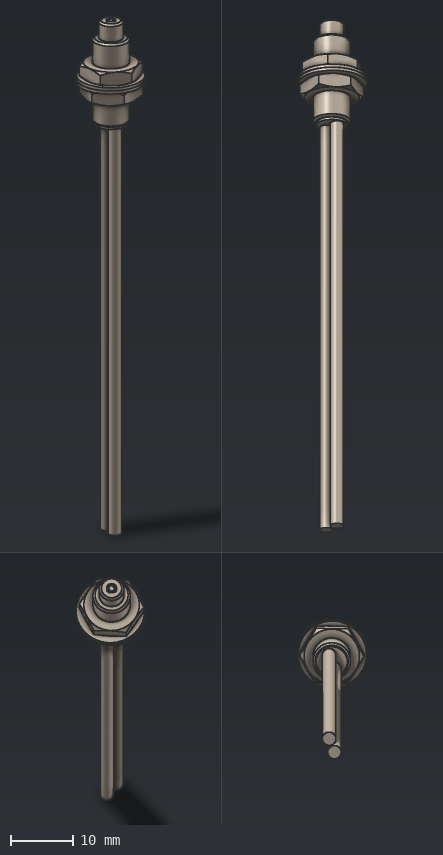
import cadquery as cq
import math

TOTAL_HEIGHT = 88.0

TIP_DIAMETER = 4.0
TIP_LENGTH = 3.0
TIP_CHAMFER = 0.35
BARREL_DIAMETER = 6.0
BARREL_END_DEPTH = 17.4
BARREL_CHAMFER = 0.35
COLLAR_DIAMETER = 5.0
COLLAR_LENGTH = 0.4
GROOVE_DIAMETER = 1.6
CORE_DIAMETER = 1.0
GROOVE_DEPTH = 0.4
LEAD_DIAMETER = 2.2
LEAD_SPACING = 2.4

NUT_ACROSS_FLATS = 9.0
NUT_RIM_DIAMETER = 8.9
NUT_THICKNESS = 2.4
NUT_CHAMFER_ANGLE = 30.0
UPPER_NUT_DEPTH = 7.2
UPPER_NUT_TURN = 8.5
LOWER_NUT_TURN = -7.8

WASHER_DIAMETER = 11.0
WASHER_THICKNESS = 0.5
WASHER_HOLE_DIAMETER = 6.5
WASHER_OFFSET_X = -0.22
UPPER_WASHER_OFFSET_Y = 0.1
LOWER_WASHER_OFFSET_Y = 0.0

SHOULDER_Z = TOTAL_HEIGHT - TIP_LENGTH
BARREL_BOTTOM_Z = TOTAL_HEIGHT - BARREL_END_DEPTH
COLLAR_BOTTOM_Z = BARREL_BOTTOM_Z - COLLAR_LENGTH
UPPER_NUT_Z = TOTAL_HEIGHT - UPPER_NUT_DEPTH - NUT_THICKNESS
UPPER_WASHER_Z = UPPER_NUT_Z - WASHER_THICKNESS
LOWER_WASHER_Z = UPPER_WASHER_Z - WASHER_THICKNESS
LOWER_NUT_Z = LOWER_WASHER_Z - NUT_THICKNESS


def cylinder(diameter, bottom, top):
    return cq.Workplane("XY").workplane(offset=bottom).circle(diameter / 2).extrude(top - bottom)


def make_probe():
    """Stepped barrel with a ring groove in the tip face and two leads below."""
    tip = cylinder(TIP_DIAMETER, SHOULDER_Z, TOTAL_HEIGHT).faces(">Z").chamfer(TIP_CHAMFER)
    barrel = cylinder(BARREL_DIAMETER, BARREL_BOTTOM_Z, SHOULDER_Z).faces("<Z or >Z").chamfer(BARREL_CHAMFER)
    collar = cylinder(COLLAR_DIAMETER, COLLAR_BOTTOM_Z, BARREL_BOTTOM_Z)
    groove_bottom = TOTAL_HEIGHT - GROOVE_DEPTH
    groove = cylinder(GROOVE_DIAMETER, groove_bottom, TOTAL_HEIGHT).cut(
        cylinder(CORE_DIAMETER, groove_bottom, TOTAL_HEIGHT)
    )
    probe = tip.union(barrel).union(collar).cut(groove)
    for side in (-1, 1):
        lead = cylinder(LEAD_DIAMETER, 0, COLLAR_BOTTOM_Z).translate((side * LEAD_SPACING / 2, 0, 0))
        probe = probe.union(lead)
    return probe


def make_nut(bottom, turn):
    """Hexagon nut with its corners cut back by a cone at both ends."""
    corner_radius = NUT_ACROSS_FLATS / math.sqrt(3)
    chamfer_width = corner_radius - NUT_RIM_DIAMETER / 2
    chamfer_height = chamfer_width * math.tan(math.radians(NUT_CHAMFER_ANGLE))
    top = bottom + NUT_THICKNESS
    hexagon = (
        cq.Workplane("XY")
        .workplane(offset=bottom)
        .polygon(6, 2 * corner_radius)
        .extrude(NUT_THICKNESS)
        .rotate((0, 0, 0), (0, 0, 1), turn)
    )
    envelope = cylinder(2 * corner_radius, bottom, top)
    for end in ("<Z", ">Z"):
        envelope = envelope.faces(end).chamfer(chamfer_height, chamfer_width)
    return hexagon.intersect(envelope).cut(cylinder(BARREL_DIAMETER, bottom, top))


def make_washer(bottom, offset_y):
    top = bottom + WASHER_THICKNESS
    ring = cylinder(WASHER_DIAMETER, bottom, top).cut(cylinder(WASHER_HOLE_DIAMETER, bottom, top))
    return ring.translate((WASHER_OFFSET_X, offset_y, 0))


probe = make_probe()

nuts = []
for nut_z, nut_turn in ((UPPER_NUT_Z, UPPER_NUT_TURN), (LOWER_NUT_Z, LOWER_NUT_TURN)):
    nuts.append(make_nut(nut_z, nut_turn).solids().val())

washers = []
for washer_z, washer_y in (
    (UPPER_WASHER_Z, UPPER_WASHER_OFFSET_Y),
    (LOWER_WASHER_Z, LOWER_WASHER_OFFSET_Y),
):
    washers.append(make_washer(washer_z, washer_y).solids().val())

result = cq.Compound.makeCompound([probe.solids().val(), *nuts, *washers])